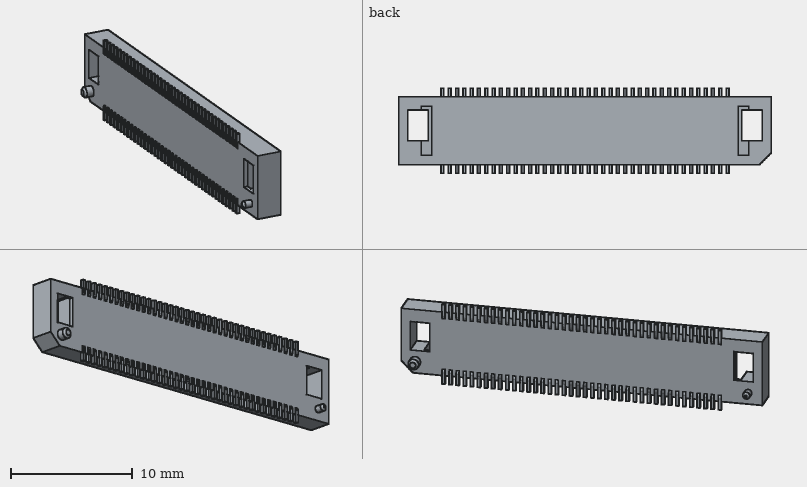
import cadquery as cq
import math

BODY_LENGTH = 30.6
BODY_HEIGHT = 5.6
OVERALL_DEPTH = 3.0
PEG_LENGTH = 0.83
BODY_DEPTH = OVERALL_DEPTH - PEG_LENGTH
CORNER_CHAMFER = 1.0

WINDOW_WIDTH = 1.65
WINDOW_HEIGHT = 2.5
WINDOW_X = 13.7
WINDOW_TOP_MARGIN = 1.1
WINDOW_Z = BODY_HEIGHT / 2 - WINDOW_TOP_MARGIN - WINDOW_HEIGHT / 2

WINDOW_INNER_X = WINDOW_X - WINDOW_WIDTH / 2
SLOT_OVERLAP = 0.55
SLOT_UNDERCUT = 0.3
SLOT_FLOOR_THICKNESS = 0.35
SLOT_HEIGHT = 4.0

PEG_X = 14.1
PEG_EDGE_DISTANCE = 1.0
PEG_Z = -BODY_HEIGHT / 2 + PEG_EDGE_DISTANCE
PEG_TIP_CHAMFER = 0.2
LARGE_PEG_DIAMETER = 0.9
SMALL_PEG_DIAMETER = 0.6

PIN_COUNT = 40
PIN_PITCH = 0.6
PIN_WIDTH = 0.25
PIN_THICKNESS = 0.28
PIN_PROUD = 0.1
OVERALL_HEIGHT = 7.0
PIN_BEND_RADIUS = 0.4
PIN_BEND_INSET = 0.3


def make_body():
    """Block with one bevelled lower corner at the -X end."""
    body = cq.Workplane("XY").box(
        BODY_LENGTH, BODY_DEPTH, BODY_HEIGHT, centered=(True, False, True)
    )
    return body.edges("|Y and <X and <Z").chamfer(CORNER_CHAMFER)


def cut_windows(body):
    """Through windows at both ends."""
    for x in (-WINDOW_X, WINDOW_X):
        window = cq.Workplane("XY").box(
            WINDOW_WIDTH, BODY_DEPTH, WINDOW_HEIGHT, centered=(True, False, True)
        )
        body = body.cut(window.translate((x, 0, WINDOW_Z)))
    return body


def cut_rear_slots(body):
    """Blind slots that leave a thin floor behind the mounting face."""
    slot_width = SLOT_OVERLAP + SLOT_UNDERCUT
    slot_x = WINDOW_INNER_X + (SLOT_OVERLAP - SLOT_UNDERCUT) / 2
    slot_depth = BODY_DEPTH - SLOT_FLOOR_THICKNESS
    for x in (-slot_x, slot_x):
        slot = cq.Workplane("XY").box(
            slot_width, slot_depth, SLOT_HEIGHT, centered=(True, False, True)
        )
        body = body.cut(slot.translate((x, SLOT_FLOOR_THICKNESS, 0)))
    return body


def make_peg(x, diameter):
    """Round peg reaching toward -Y, with a chamfered tip."""
    peg = (
        cq.Workplane("XZ", origin=(x, 0, PEG_Z))
        .circle(diameter / 2)
        .extrude(PEG_LENGTH)
    )
    return peg.faces("<Y").chamfer(PEG_TIP_CHAMFER)


def make_pin(x):
    """Upper contact tail: a flat strip whose inner end curves into the mounting face."""
    tip_z = OVERALL_HEIGHT / 2
    bend_z = BODY_HEIGHT / 2 - PIN_BEND_INSET
    front_y = -PIN_PROUD
    back_y = front_y + PIN_THICKNESS
    diagonal = PIN_BEND_RADIUS * math.sqrt(0.5)
    bend_centre_y = front_y + PIN_BEND_RADIUS
    return (
        cq.Workplane("YZ", origin=(x - PIN_WIDTH / 2, 0, 0))
        .moveTo(back_y, tip_z)
        .lineTo(front_y, tip_z)
        .lineTo(front_y, bend_z)
        .threePointArc(
            (bend_centre_y - diagonal, bend_z - diagonal),
            (bend_centre_y, bend_z - PIN_BEND_RADIUS),
        )
        .lineTo(bend_centre_y, bend_z)
        .lineTo(back_y, bend_z)
        .close()
        .extrude(PIN_WIDTH)
    )


def make_pins():
    """Both rows of contact tails, the lower row mirroring the upper one."""
    first_x = -(PIN_COUNT - 1) * PIN_PITCH / 2
    pins = []
    for index in range(PIN_COUNT):
        pin = make_pin(first_x + index * PIN_PITCH)
        pins.append(pin.val())
        pins.append(pin.mirror("XY").val())
    return pins


housing = cut_rear_slots(cut_windows(make_body()))
housing = housing.union(make_peg(-PEG_X, LARGE_PEG_DIAMETER))
housing = housing.union(make_peg(PEG_X, SMALL_PEG_DIAMETER))
result = cq.Workplane(housing.val().fuse(*make_pins()))